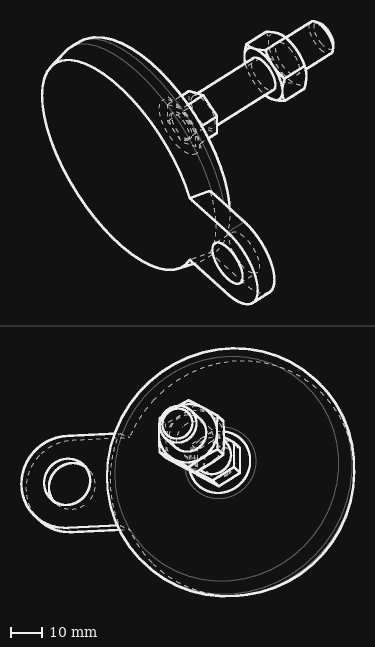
import cadquery as cq
import math


pad_radius = 40.0
underside_radius = 38.3
taper_height = 7.4
rim_height = 10.8
shoulder_radius = 4.1
shoulder_angle = math.radians(80)
flare_mid_radius = 19.5
flare_mid_height = 19.8
flare_top_radius = 11.7
flare_top_height = 24.0
crown_radius = 10.0
pad_height = 25.1

overall_length = 109.0
tab_thickness = 7.0
tab_width = 30.0
tab_hole_diameter = 15.0
tab_hole_x = overall_length - pad_radius - tab_width / 2

stud_top = 85.0
stud_diameter = 12.0
stud_chamfer = 1.1
neck_diameter = 10.0
neck_embed = 1.1

wrench_flats = 14.0
wrench_bottom = 26.0
wrench_height = 8.9
nut_flats = 19.0
nut_bottom = 60.0
nut_height = 10.0
nut_chamfer_angle = math.radians(30)


def plane_at(height):
    """Plane across the stud axis, with its normal along +Y and its local y along +Z."""
    return cq.Workplane(cq.Plane(origin=(0, height, 0), xDir=(-1, 0, 0), normal=(0, 1, 0)))


def hexagon(flats, bottom, height):
    """Hexagonal prism with two corners pointing along Z."""
    corner_diameter = flats / math.cos(math.pi / 6)
    prism = plane_at(bottom).polygon(6, corner_diameter).extrude(height)
    return prism.rotate((0, 0, 0), (0, 1, 0), 30)


def revolve_about_stud(profile):
    return profile.close().revolve(360, (0, 0, 0), (0, 1, 0))


def make_pad():
    def shoulder_point(angle):
        return (
            pad_radius - shoulder_radius * (1 - math.cos(angle)),
            rim_height + shoulder_radius * math.sin(angle),
        )

    profile = (
        cq.Workplane("XY")
        .lineTo(underside_radius, 0)
        .lineTo(pad_radius, taper_height)
        .lineTo(pad_radius, rim_height)
        .threePointArc(shoulder_point(shoulder_angle / 2), shoulder_point(shoulder_angle))
        .threePointArc((flare_mid_radius, flare_mid_height), (flare_top_radius, flare_top_height))
        .lineTo(crown_radius, pad_height)
        .lineTo(0, pad_height)
    )
    return revolve_about_stud(profile)


def make_tab():
    bar = cq.Workplane("XY").box(tab_hole_x, tab_thickness, tab_width, centered=(False, False, True))
    end = plane_at(0).center(-tab_hole_x, 0).circle(tab_width / 2).extrude(tab_thickness)
    hole = plane_at(0).center(-tab_hole_x, 0).circle(tab_hole_diameter / 2).extrude(tab_thickness)
    return bar.union(end).cut(hole)


def make_stud():
    neck_bottom = pad_height - neck_embed
    neck = plane_at(neck_bottom).circle(neck_diameter / 2).extrude(wrench_bottom - neck_bottom)
    shank = plane_at(wrench_bottom).circle(stud_diameter / 2).extrude(stud_top - wrench_bottom)
    shank = shank.faces(">Y").chamfer(stud_chamfer)
    return neck.union(shank).union(hexagon(wrench_flats, wrench_bottom, wrench_height))


def make_nut():
    """Hex nut with its corners turned down by a cone at both ends."""
    face_radius = nut_flats / 2
    corner_radius = face_radius / math.cos(math.pi / 6)
    chamfer_height = (corner_radius - face_radius) * math.tan(nut_chamfer_angle)
    nut_top = nut_bottom + nut_height
    envelope = revolve_about_stud(
        cq.Workplane("XY")
        .moveTo(0, nut_bottom)
        .lineTo(face_radius, nut_bottom)
        .lineTo(corner_radius, nut_bottom + chamfer_height)
        .lineTo(corner_radius, nut_top - chamfer_height)
        .lineTo(face_radius, nut_top)
        .lineTo(0, nut_top)
    )
    return hexagon(nut_flats, nut_bottom, nut_height).intersect(envelope)


result = make_pad().union(make_tab()).union(make_stud()).union(make_nut())